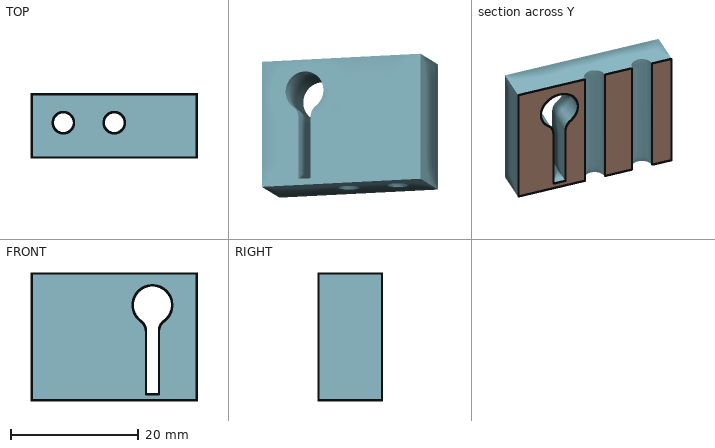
import cadquery as cq
import math

length = 26.0
depth = 10.0
height = 20.0

bore_radius = 3.1
bore_x = 19.0
bore_z = 15.0
slot_width = 2.0
slot_bottom_z = 1.0
neck_radius = 2.0

hole_diameter = 3.3
hole_y = 5.5
first_hole_x = 5.0
hole_pitch = 8.0
hole_count = 2


def keyhole_cutter():
    """Round bore blended by tangent neck arcs into a straight slot below it."""
    half_slot = slot_width / 2
    neck_offset = half_slot + neck_radius
    center_distance = bore_radius + neck_radius
    neck_drop = math.sqrt(center_distance**2 - neck_offset**2)
    neck_z = bore_z - neck_drop

    bore_share = bore_radius / center_distance
    join_offset = neck_offset * bore_share
    join_z = bore_z - neck_drop * bore_share

    mid_angle = (math.pi + math.atan2(neck_drop, -neck_offset)) / 2
    mid_offset = neck_offset + neck_radius * math.cos(mid_angle)
    mid_z = neck_z + neck_radius * math.sin(mid_angle)

    return (
        cq.Workplane("XZ")
        .moveTo(bore_x - half_slot, slot_bottom_z)
        .lineTo(bore_x + half_slot, slot_bottom_z)
        .lineTo(bore_x + half_slot, neck_z)
        .threePointArc((bore_x + mid_offset, mid_z), (bore_x + join_offset, join_z))
        .threePointArc((bore_x, bore_z + bore_radius), (bore_x - join_offset, join_z))
        .threePointArc((bore_x - mid_offset, mid_z), (bore_x - half_slot, neck_z))
        .close()
        .extrude(-depth)
    )


def hole_cutters():
    """Row of vertical holes along X."""
    centers = [(first_hole_x + i * hole_pitch, hole_y) for i in range(hole_count)]
    return cq.Workplane("XY").pushPoints(centers).circle(hole_diameter / 2).extrude(height)


block = cq.Workplane("XY").box(length, depth, height, centered=False)
result = block.cut(keyhole_cutter()).cut(hole_cutters())